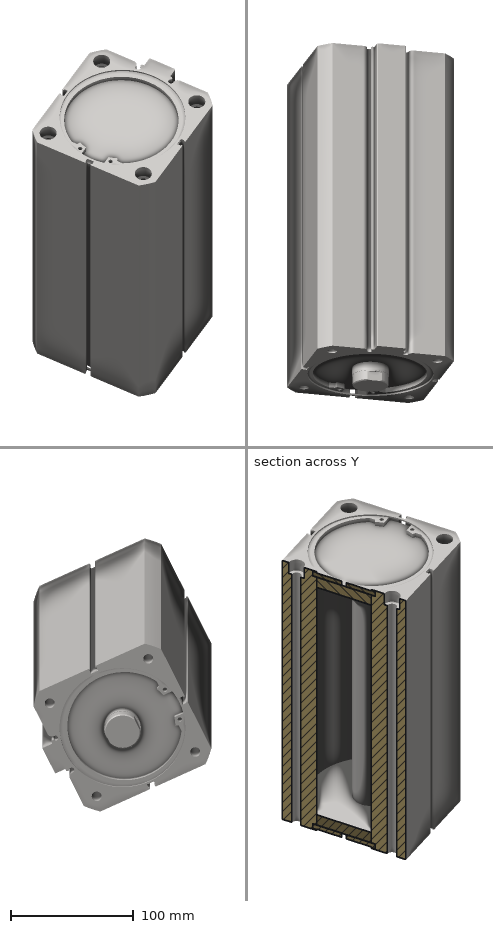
import cadquery as cq
import math

TOTAL_HEIGHT = 272.5
ROD_STICKOUT = 10.0
BODY_HEIGHT = TOTAL_HEIGHT - ROD_STICKOUT
BODY_WIDTH = 115.0
BODY_DEPTH_WITH_BLOCK = 124.0
HALF_WIDTH = BODY_WIDTH / 2
CORNER_CUT = 10.0

BLOCK_WIDTH = 24.3
BLOCK_CHAMFER = 0.5
BLOCK_TOP = BODY_DEPTH_WITH_BLOCK - HALF_WIDTH
GROOVE_X = 15.3
GROOVE_RADIUS = 2.2
GROOVE_CENTER_Y = HALF_WIDTH - 4.4
GROOVE_FOOT_X = 14.7
GROOVE_NECK_OUTER_X = GROOVE_X + GROOVE_RADIUS
GROOVE_LIP_RADIUS = 4.0
GROOVE_FOOT_RADIUS = 1.4

SLOT_MOUTH_WIDTH = 4.5
SLOT_WIDTH = 6.3
SLOT_LIP = 1.4
SLOT_CHAMFER = 0.5
SLOT_DEPTH = 4.5
SLOT_ANGLES = (180, 270, 0)

BOLT_OFFSET = 44.5
BOLT_HOLE_DIAMETER = 8.2
COUNTERBORE_DIAMETER = 14.0
COUNTERBORE_DEPTH = 11.0

BORE_RADIUS = 51.2
RING_RADIUS = 53.1
RING_SETBACK = 1.4
RING_THICKNESS = 4.0
COVER_SETBACK = RING_SETBACK + RING_THICKNESS
COVER_THICKNESS = 11.0
RING_INNER_RADIUS = 46.5
RING_INNER_SHIFT = 2.0
LUG_INNER_RADIUS = 43.0
RING_GAP_WIDTH = 21.0
LUG_END_ANGLE = 24.0
LUG_ROOT_X = 24.8
LUG_ROOT_Y = -42.0
LUG_HOLE_DIAMETER = 3.5
LUG_HOLE_X = 14.2
LUG_HOLE_Y = -45.0

ROD_DIAMETER = 30.0
ROD_TIP_DIAMETER = 29.5
ROD_TIP_LENGTH = 8.5
ROD_FLATS_WIDTH = 26.7
ROD_FLATS_LENGTH = 7.5
ROD_END_CHAMFER = 0.8


def disc(radius, bottom, height):
    return cq.Workplane("XY").workplane(offset=bottom).circle(radius).extrude(height)


def body_blank():
    """Square bar whose corners are turned to one large circle."""
    corner_radius = math.hypot(HALF_WIDTH, HALF_WIDTH - CORNER_CUT)
    bar = cq.Workplane("XY").rect(BODY_WIDTH, BODY_WIDTH).extrude(BODY_HEIGHT)
    return bar.intersect(disc(corner_radius, 0, BODY_HEIGHT))


def port_block():
    """Rectangular rib, its outer edges chamfered, along the whole +Y side."""
    return (
        cq.Workplane("XY")
        .center(0, BLOCK_TOP / 2)
        .rect(BLOCK_WIDTH, BLOCK_TOP)
        .extrude(BODY_HEIGHT)
        .edges("|Z and >Y")
        .chamfer(BLOCK_CHAMFER)
    )


def block_groove():
    """Round-bottomed groove between a rounded lip and the bull-nosed block foot, at +X."""
    pocket = (
        cq.Workplane("XY")
        .center(GROOVE_X, GROOVE_CENTER_Y)
        .circle(GROOVE_RADIUS)
        .extrude(BODY_HEIGHT)
    )
    lip = GROOVE_LIP_RADIUS
    foot = GROOVE_FOOT_RADIUS
    arc_inset = 1 - math.sqrt(0.5)
    neck = (
        cq.Workplane("XY")
        .moveTo(GROOVE_X, GROOVE_CENTER_Y)
        .lineTo(GROOVE_NECK_OUTER_X, GROOVE_CENTER_Y)
        .lineTo(GROOVE_NECK_OUTER_X, HALF_WIDTH - lip)
        .threePointArc(
            (GROOVE_NECK_OUTER_X + lip * arc_inset, HALF_WIDTH - lip * arc_inset),
            (GROOVE_NECK_OUTER_X + lip, HALF_WIDTH),
        )
        .lineTo(GROOVE_FOOT_X - foot, HALF_WIDTH)
        .threePointArc(
            (GROOVE_FOOT_X, HALF_WIDTH - foot),
            (GROOVE_FOOT_X - foot, HALF_WIDTH - 2 * foot),
        )
        .close()
        .extrude(BODY_HEIGHT)
    )
    return pocket.union(neck)


def sensor_slot():
    """T-slot with a chamfered mouth along the +X side."""
    floor_x = HALF_WIDTH - SLOT_DEPTH
    lip_x = HALF_WIDTH - SLOT_LIP
    chamfer_x = HALF_WIDTH - SLOT_CHAMFER
    half_mouth = SLOT_MOUTH_WIDTH / 2
    half_opening = half_mouth + SLOT_CHAMFER
    half_slot = SLOT_WIDTH / 2
    outline = [
        (floor_x, -half_slot),
        (lip_x, -half_slot),
        (lip_x, -half_mouth),
        (chamfer_x, -half_mouth),
        (HALF_WIDTH, -half_opening),
        (HALF_WIDTH, half_opening),
        (chamfer_x, half_mouth),
        (lip_x, half_mouth),
        (lip_x, half_slot),
        (floor_x, half_slot),
    ]
    return cq.Workplane("XY").polyline(outline).close().extrude(BODY_HEIGHT)


def make_housing():
    housing = body_blank().union(port_block())
    groove = block_groove()
    housing = housing.cut(groove).cut(groove.mirror("YZ"))
    for angle in SLOT_ANGLES:
        housing = housing.cut(sensor_slot().rotate((0, 0, 0), (0, 0, 1), angle))
    housing = (
        housing.faces(">Z")
        .workplane(origin=(0, 0, BODY_HEIGHT))
        .rect(2 * BOLT_OFFSET, 2 * BOLT_OFFSET, forConstruction=True)
        .vertices()
        .cboreHole(BOLT_HOLE_DIAMETER, COUNTERBORE_DIAMETER, COUNTERBORE_DEPTH)
    )
    housing = housing.cut(disc(BORE_RADIUS, 0, BODY_HEIGHT))
    for groove_bottom in (RING_SETBACK, BODY_HEIGHT - COVER_SETBACK):
        housing = housing.cut(disc(RING_RADIUS, groove_bottom, RING_THICKNESS))
    return housing


def around_gap(radius, angle):
    """Point at an angle from the -Y axis, towards +X."""
    turn = math.radians(angle)
    return (radius * math.sin(turn), -radius * math.cos(turn))


def ring_lug():
    """Plier lug left standing in the ring opening, from the middle of the gap towards +X."""
    return (
        cq.Workplane("XY")
        .moveTo(0, -LUG_INNER_RADIUS)
        .threePointArc(
            around_gap(LUG_INNER_RADIUS, LUG_END_ANGLE / 2),
            around_gap(LUG_INNER_RADIUS, LUG_END_ANGLE),
        )
        .lineTo(-LUG_ROOT_Y * math.tan(math.radians(LUG_END_ANGLE)), LUG_ROOT_Y)
        .lineTo(LUG_ROOT_X, LUG_ROOT_Y)
        .lineTo(LUG_ROOT_X, -RING_RADIUS)
        .lineTo(0, -RING_RADIUS)
        .close()
        .extrude(RING_THICKNESS)
    )


def make_snap_ring(bottom):
    """Ring that narrows towards a gap on the -Y side."""
    opening = disc(RING_INNER_RADIUS, 0, RING_THICKNESS).translate((0, -RING_INNER_SHIFT, 0))
    gap = (
        cq.Workplane("XY")
        .center(0, -RING_RADIUS)
        .rect(RING_GAP_WIDTH, RING_RADIUS)
        .extrude(RING_THICKNESS)
    )
    lug_holes = (
        cq.Workplane("XY")
        .pushPoints([(-LUG_HOLE_X, LUG_HOLE_Y), (LUG_HOLE_X, LUG_HOLE_Y)])
        .circle(LUG_HOLE_DIAMETER / 2)
        .extrude(RING_THICKNESS)
    )
    lug = ring_lug()
    opening = opening.cut(lug).cut(lug.mirror("YZ"))
    ring = disc(RING_RADIUS, 0, RING_THICKNESS).cut(opening).cut(gap).cut(lug_holes)
    return ring.translate((0, 0, bottom))


def make_rear_cover():
    cover_bottom = BODY_HEIGHT - COVER_SETBACK - COVER_THICKNESS
    return disc(BORE_RADIUS, cover_bottom, COVER_THICKNESS)


def make_front_cover():
    cover = disc(BORE_RADIUS, COVER_SETBACK, COVER_THICKNESS)
    return cover.cut(disc(ROD_DIAMETER / 2, COVER_SETBACK, COVER_THICKNESS))


def make_rod():
    """Rod from the rear cover out through the front cover, with a flatted tip."""
    rod_top = BODY_HEIGHT - COVER_SETBACK - COVER_THICKNESS
    tip_top = ROD_TIP_LENGTH - ROD_STICKOUT
    tip = disc(ROD_TIP_DIAMETER / 2, -ROD_STICKOUT, ROD_TIP_LENGTH)
    tip = tip.faces("<Z").chamfer(ROD_END_CHAMFER)
    between_flats = (
        cq.Workplane("XY")
        .workplane(offset=-ROD_STICKOUT)
        .rect(ROD_DIAMETER, ROD_FLATS_WIDTH)
        .extrude(ROD_FLATS_LENGTH)
    )
    flats_cut = disc(ROD_DIAMETER, -ROD_STICKOUT, ROD_FLATS_LENGTH).cut(between_flats)
    shaft = disc(ROD_DIAMETER / 2, tip_top, rod_top - tip_top)
    return shaft.union(tip.cut(flats_cut))


housing = make_housing()
rear_cover = make_rear_cover()
front_cover = make_front_cover()
rod = make_rod()
snap_rings = [
    make_snap_ring(ring_bottom)
    for ring_bottom in (RING_SETBACK, BODY_HEIGHT - COVER_SETBACK)
]

result = cq.Compound.makeCompound(
    [
        housing.val(),
        rear_cover.val(),
        front_cover.val(),
        rod.val(),
        *[ring.val() for ring in snap_rings],
    ]
)